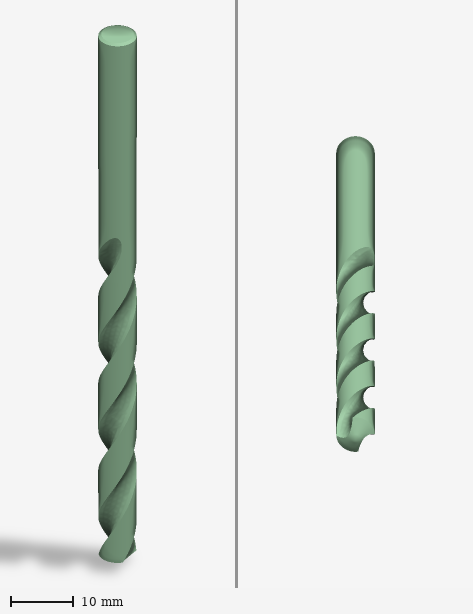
import cadquery as cq
import math

length = 101.0
radius = 3.08
shank_start = 55.4
point_angle = 118.0
top_chamfer_width = 0.5
top_chamfer_height = 0.3

flute_pitch = 33.3
flute_helix_end = 58.1
flute_front_height = 41.6
web_radius = 1.2
flute_radius = 2.5
flute_count = 2
flute_lead_in = 2.0
runout_rise = 12.1

point_height = radius / math.tan(math.radians(point_angle / 2))
flute_offset = web_radius + flute_radius


def flute_angle(height):
    """Direction of a flute about the axis, in degrees from +X."""
    return -90 + 360 * (height - flute_front_height) / flute_pitch


def make_blank():
    """Round bar with a conical point below and a chamfered top edge."""
    return (
        cq.Workplane("XZ")
        .moveTo(0, 0)
        .lineTo(radius, point_height)
        .lineTo(radius, length - top_chamfer_height)
        .lineTo(radius - top_chamfer_width, length)
        .lineTo(0, length)
        .close()
        .revolve(360, (0, 0, 0), (0, 1, 0))
    )


def make_helical_flute(turn):
    """Cutter for the twisted length of one flute, started below the point."""
    height = flute_helix_end + flute_lead_in
    return (
        cq.Workplane("XY")
        .moveTo(flute_offset, 0)
        .circle(flute_radius)
        .twistExtrude(height, 360 * height / flute_pitch)
        .translate((0, 0, -flute_lead_in))
        .rotate((0, 0, 0), (0, 0, 1), flute_angle(-flute_lead_in) + turn)
    )


def make_runout(turn):
    """Cutter that carries one flute on along its tangent until it leaves the shank."""
    sideways = runout_rise * 2 * math.pi * flute_offset / flute_pitch
    section = cq.Wire.makeCircle(
        flute_radius, cq.Vector(flute_offset, 0, flute_helix_end), cq.Vector(0, 0, 1)
    )
    cutter = cq.Solid.extrudeLinear(section, [], cq.Vector(0, sideways, runout_rise))
    return cq.Workplane(cutter).rotate((0, 0, 0), (0, 0, 1), flute_angle(flute_helix_end) + turn)


def make_span(bottom, top):
    """Block around the bar that covers one range of heights."""
    width = 4 * radius
    return cq.Workplane("XY").workplane(offset=bottom).rect(width, width).extrude(top - bottom)


def make_fluted_bar():
    """Whole drill with both flutes and their runouts."""
    bar = make_blank()
    for index in range(flute_count):
        turn = index * 360 / flute_count
        bar = bar.cut(make_helical_flute(turn))
        bar = bar.cut(make_runout(turn))
    return bar


def make_fluted_body(bar):
    """Pointed cutting end, from the tip up to the shank."""
    return bar.intersect(make_span(0, shank_start)).solids()


def make_shank(bar):
    """Plain upper bar with the flutes running out in its lower end."""
    return bar.intersect(make_span(shank_start, length)).solids()


fluted_bar = make_fluted_bar()
fluted_body = make_fluted_body(fluted_bar)
shank = make_shank(fluted_bar)

result = cq.Compound.makeCompound([fluted_body.val(), shank.val()])